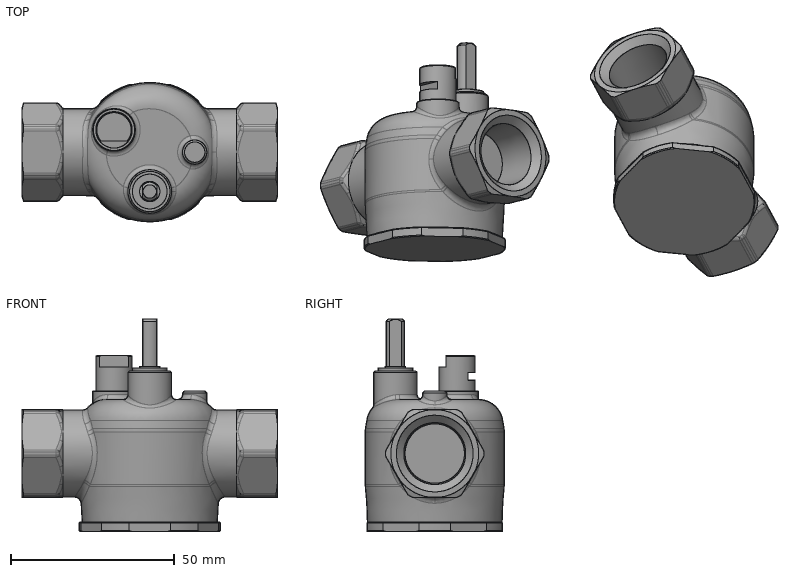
import cadquery as cq
import math


bottom_z = -23.8
flange_top_z = -20.9
belly_low_z = -9.75
belly_high_z = 7.05
dome_top_z = 16.5
body_foot_radius = 20.6
belly_radius = 21.25
belly_low_blend = 0.3
belly_high_blend = 7.0
shoulder_draft = 9.0
dome_edge_radius = 7.6

flange_flats = 41.2
flange_corner_radius = 21.55
flange_edge_break = 0.3

half_length = 39.0
hex_length = 12.6
hex_flats = 26.8
hex_corner_width = 30.0
half_hex_turn = 30
hex_corner_blend = 1.4
hex_shoulder_blend = 1.5
end_face_radius = hex_flats / 2
outer_chamfer_length = 0.7
inner_chamfer_length = 2.0
pipe_radius = 13.3
pipe_fillet = 2.0

mouth_radius = 11.7
throat_radius = 9.45
mouth_depth = mouth_radius - throat_radius
floor_radius = 9.05
bore_depth = 16.5

boss_root_z = 0.0
boss_fillet = 1.5

plug_center = (-10.9, 6.8)
plug_boss_radius = 6.5
plug_boss_top_z = 19.1
plug_boss_edge = 0.2
plug_radius = 5.55
plug_top_z = 29.9
plug_edge_break = 0.3
plug_flat_offset = -3.4
plug_flat_floor_z = 26.4
plug_slot_depth = 2.2
plug_slot_low_z = 22.4
plug_slot_high_z = 24.7

pin_center = (13.7, 0.0)
pin_radius = 3.7
pin_top_z = plug_boss_top_z
pin_edge_break = 0.6

spindle_center = (0.0, -12.0)
spindle_boss_radius = 6.65
spindle_boss_top_z = 25.2
spindle_boss_edge = 0.5
washer_radius = 5.3
washer_top_z = 26.1
collar_radius = 3.1
collar_top_z = 26.6
spindle_radius = 2.85
spindle_top_z = 41.1
spindle_flats = 4.4
spindle_tip_chamfer = 0.8

pick_margin = 0.05


def cylinder(center, radius, low_z, high_z):
    """Upright cylinder between two heights."""
    return cq.Workplane("XY", origin=(*center, low_z)).circle(radius).extrude(high_z - low_z)


def hexagon(plane, flats, length, turn=0):
    """Hexagonal prism given by its width across flats, turned about its own axis."""
    corner_circle = flats / math.cos(math.pi / 6)
    return plane.transformed(rotate=(0, 0, turn)).polygon(6, corner_circle).extrude(length)


def turned_about_x(points):
    """Solid of revolution about X from (x, radius) points."""
    return cq.Workplane("XY").polyline(points).close().revolve(360, (0, 0, 0), (1, 0, 0))


def ring_edge(body, height):
    """Horizontal edge of a body at one height."""
    return body.edges(cq.selectors.BoxSelector(
        (-half_length, -half_length, height - pick_margin),
        (half_length, half_length, height + pick_margin),
        boundingbox=True,
    ))


def make_body():
    """Barrel-shaped housing with a rounded dome and a flat top."""
    shoulder_slope = math.tan(math.radians(shoulder_draft))
    dome_corner_radius = belly_radius - (dome_top_z - belly_high_z) * shoulder_slope
    foot_slope = (belly_radius - body_foot_radius) / (belly_low_z - flange_top_z)
    blend_start_radius = belly_radius - belly_low_blend * foot_slope
    body = (
        cq.Workplane("XZ")
        .moveTo(0, flange_top_z)
        .lineTo(body_foot_radius, flange_top_z)
        .lineTo(blend_start_radius, belly_low_z - belly_low_blend)
        .tangentArcPoint((belly_radius, belly_low_z + belly_low_blend), relative=False)
        .lineTo(belly_radius, belly_high_z)
        .lineTo(dome_corner_radius, dome_top_z)
        .lineTo(0, dome_top_z)
        .close()
        .revolve(360, (0, 0, 0), (0, 1, 0))
    )
    body = ring_edge(body, dome_top_z).fillet(dome_edge_radius)
    return ring_edge(body, belly_high_z).fillet(belly_high_blend)


def make_flange():
    """Thin hexagonal flange under the body, with turned corners and a broken upper edge."""
    thickness = flange_top_z - bottom_z
    plane = cq.Workplane("XY", origin=(0, 0, bottom_z))
    turned = cylinder((0, 0), flange_corner_radius, bottom_z, flange_top_z)
    turned = turned.faces("<Z").chamfer(flange_edge_break)
    return hexagon(plane, flange_flats, thickness).intersect(turned).faces(">Z").chamfer(flange_edge_break)


def make_hex_end():
    """Hexagon end on the -X side: flattened corners, both ends turned conical."""
    plane = cq.Workplane("YZ", origin=(-half_length, 0, 0))
    corner_cut = hexagon(plane, hex_corner_width, hex_length, half_hex_turn)
    prism = hexagon(plane, hex_flats, hex_length).intersect(corner_cut)
    prism = prism.edges("|X").fillet(hex_corner_blend)
    rim_radius = hex_flats / math.sqrt(3)
    inner_x = hex_length - half_length
    envelope = turned_about_x([
        (-half_length, 0),
        (-half_length, end_face_radius),
        (outer_chamfer_length - half_length, rim_radius),
        (inner_x - inner_chamfer_length, rim_radius),
        (inner_x, pipe_radius),
        (inner_x, 0),
    ])
    hex_end = prism.intersect(envelope)
    shoulder_edges = cq.selectors.BoxSelector(
        (inner_x - inner_chamfer_length - pick_margin, -rim_radius, -rim_radius),
        (inner_x - pick_margin, rim_radius, rim_radius),
        boundingbox=True,
    )
    return hex_end.edges(shoulder_edges).fillet(hex_shoulder_blend)


def make_bore():
    """Bore cutter for the -X end."""
    return turned_about_x([
        (-half_length, 0),
        (-half_length, mouth_radius),
        (mouth_depth - half_length, throat_radius),
        (bore_depth - half_length, floor_radius),
        (bore_depth - half_length, 0),
    ])


def make_plug():
    """Round plug with a flat on its -Y side and a cross slot on its +Y side."""
    center_x, center_y = plug_center
    plug = cylinder(plug_center, plug_radius, boss_root_z, plug_top_z).faces(">Z").chamfer(plug_edge_break)
    width = 2 * plug_radius
    flat_height = plug_top_z - plug_flat_floor_z
    flat_cut = cq.Workplane("XY").box(width, plug_radius, flat_height, (True, False, False))
    flat_y = center_y + plug_flat_offset - plug_radius
    slot_height = plug_slot_high_z - plug_slot_low_z
    slot_cut = cq.Workplane("XY").box(width, plug_slot_depth, slot_height, (True, False, False))
    slot_y = center_y + plug_radius - plug_slot_depth
    plug = plug.cut(flat_cut.translate((center_x, flat_y, plug_flat_floor_z)))
    return plug.cut(slot_cut.translate((center_x, slot_y, plug_slot_low_z)))


def make_spindle():
    """Spindle with two flats, standing in a collar and a washer."""
    washer = cylinder(spindle_center, washer_radius, boss_root_z, washer_top_z)
    collar = cylinder(spindle_center, collar_radius, boss_root_z, collar_top_z)
    rod = cylinder(spindle_center, spindle_radius, collar_top_z, spindle_top_z)
    rod = rod.faces(">Z").chamfer(spindle_tip_chamfer)
    flats = (
        cq.Workplane("XY", origin=(*spindle_center, collar_top_z))
        .rect(spindle_flats, 2 * spindle_radius)
        .extrude(spindle_top_z - collar_top_z)
    )
    return washer.union(collar).union(rod.intersect(flats))


def fillet_boss_root(part, boss_center, boss_radius):
    """Round the edge where a boss rises from the dome."""
    reach = boss_radius + pick_margin
    zone_height = dome_top_z + pick_margin
    center_x, center_y = boss_center
    zone = cq.selectors.BoxSelector(
        (center_x - reach, center_y - reach, boss_root_z),
        (center_x + reach, center_y + reach, zone_height),
        boundingbox=True,
    )
    return part.edges(zone).fillet(boss_fillet)


def make_housing():
    """Body with the pipe passing through it and a rounded joint between them."""
    inner_x = half_length - hex_length
    pipe = cq.Workplane("YZ", origin=(-inner_x, 0, 0)).circle(pipe_radius).extrude(2 * inner_x)
    joint_edges = cq.selectors.BoxSelector(
        (pick_margin - inner_x, -pipe_radius - pick_margin, -pipe_radius - pick_margin),
        (inner_x - pick_margin, pipe_radius + pick_margin, pipe_radius + pick_margin),
        boundingbox=True,
    )
    return make_body().union(pipe).edges(joint_edges).fillet(pipe_fillet)


def add_bosses(part):
    """Three round bosses on the dome, each blended into it."""
    bosses = [
        (plug_center, plug_boss_radius, plug_boss_top_z, plug_boss_edge),
        (pin_center, pin_radius, pin_top_z, pin_edge_break),
        (spindle_center, spindle_boss_radius, spindle_boss_top_z, spindle_boss_edge),
    ]
    for center, radius, top_z, edge_break in bosses:
        boss = cylinder(center, radius, boss_root_z, top_z).faces(">Z").chamfer(edge_break)
        part = fillet_boss_root(part.union(boss), center, radius)
    return part


valve = add_bosses(make_housing())
valve = valve.union(make_flange()).union(make_plug()).union(make_spindle())

hex_end = make_hex_end()
valve = valve.union(hex_end).union(hex_end.mirror("YZ"))

bore = make_bore()
valve = valve.cut(bore).cut(bore.mirror("YZ"))

result = valve